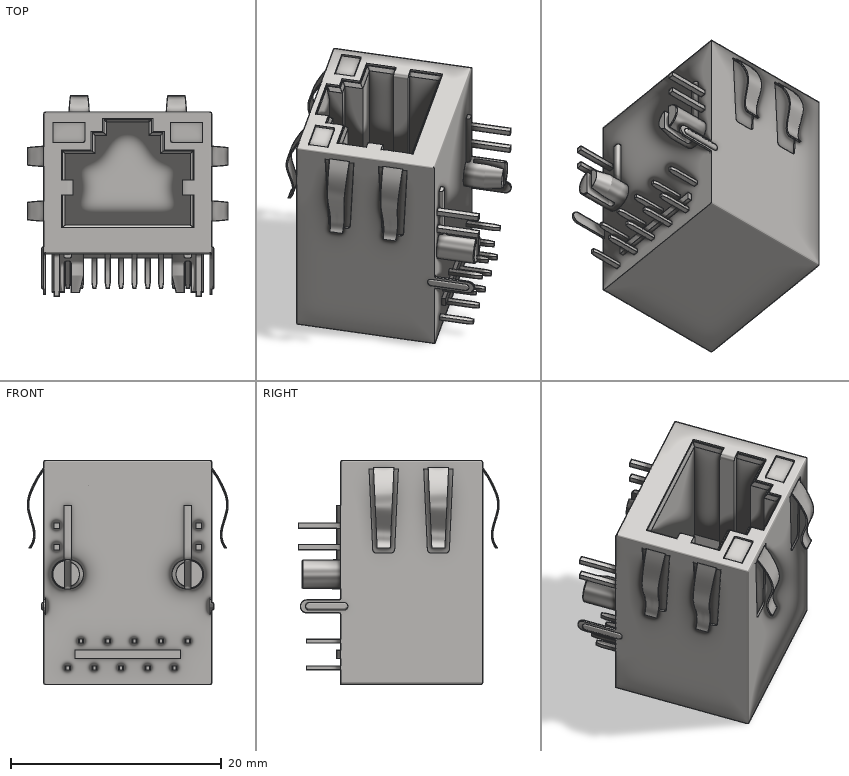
import cadquery as cq
import math


WIDTH, DEPTH, HEIGHT = 15.98, 13.5, 21.3
SHEET = 0.2
HALF_WIDTH = WIDTH / 2

STEP_HALF_WIDTHS = (5.95, 3.1, 2.02)
STEP_TOPS = (9.55, 11.29, 12.55)
BORE_FLOOR_Y = 2.77
BORE_DEPTH = 12.78
LEAD_IN = 0.25
LEAD_IN_DEPTH = 0.38
RIM_LEDGE = 0.1
LATCH_RAMP_DEPTH = 1.3

TONGUE_FACE_X = 5.2
TONGUE_BEND = 0.58
TONGUE_WIDTH = 1.43
TONGUE_Y = 6.33

LED_WIDTH, LED_HEIGHT = 3.05, 1.87
LED_X, LED_Y = 5.6, 11.57
LED_CORNER = 0.15

SPRING_THICKNESS = 0.2
SPRING_REACH = 1.7
SPRING_CURVE = [(-SHEET, 20.75), (1.05, 18.75), (1.5, 17.05), (0.9, 14.35), (1.32, 12.97)]
SPRING_TOP_Z, SPRING_TOP_WIDTH = 20.79, 1.95
SPRING_TIP_Z, SPRING_TIP_WIDTH = 12.9, 1.24
SIDE_SPRING_YS = (4.1, 9.29)
BACK_SPRING_X = 4.62
SLOT_TOP_Z, SLOT_TOP_WIDTH = 20.5, 2.8
SLOT_BOTTOM_Z, SLOT_BOTTOM_WIDTH = 12.5, 2.07
SLOT_CORNER = 0.36

PIN_WIDTH, PIN_HEIGHT = 0.5, 0.38
PIN_LENGTH = 3.25
PIN_TIP_LENGTH, PIN_TIP_WIDTH = 0.55, 0.3
PIN_PITCH = 2.53
PINS_PER_ROW = 5
PIN_ROW_ZS = (1.58, 4.13)
ROW_STAGGER = PIN_PITCH / 2
FIRST_PIN_X = -(PINS_PER_ROW - 1) * PIN_PITCH / 2 - ROW_STAGGER / 2

LED_PIN_SIZE = 0.51
LED_PIN_LENGTH = 4.03
LED_PIN_X = 6.75
LED_PIN_ZS = (13.05, 15.1)

STANDOFF = 0.38
BAR_WIDTH, BAR_HEIGHT, BAR_Z = 10.01, 0.8, 2.88
RIB_WIDTH, RIB_TOP_Z = 0.75, 17.05
RIB_FILLET = 0.23

PEG_X, PEG_Z = 5.7, 10.48
PEG_RADIUS = 1.38
PEG_SPAN = 3.0
PEG_LENGTH = 3.66
PEG_STRAIGHT = 2.07
PEG_TIP_INSET = 0.38
PEG_CHAMFER = 0.09
PEG_SLOT_WIDTH = 0.64
PEG_SLOT_START = 0.65
PEG_SLOT_CORNER = 0.25

TAB_Z, TAB_HEIGHT, TAB_LENGTH = 7.43, 1.25, 3.83
TAB_ROOT_FILLET = 0.17
BEAD_START_Y, BEAD_END_Y = 0.68, -3.35
BEAD_HEIGHT = 0.72
BEAD_FILLET = 0.17


def box(x, y, z, x_size, y_size, z_size):
    """Box centred on X and Z whose +Y face lies at y."""
    return cq.Workplane("XY").box(x_size, y_size, z_size).translate((x, y - y_size / 2, z))


def both_sides(solid):
    """The solid together with its mirror image across X = 0."""
    return solid.union(solid.mirror("YZ"))


def shell_block():
    block = box(0, DEPTH, HEIGHT / 2, WIDTH, DEPTH, HEIGHT)
    return block.edges(">Z or >Y or (|Y and <Z)").fillet(SHEET)


def mouth_outline(z, growth, floor_growth):
    """Stepped mouth outline at height z, grown outward from the bore."""
    right = []
    y = BORE_FLOOR_Y - floor_growth
    for half_width, top in zip(STEP_HALF_WIDTHS, STEP_TOPS):
        right.append((half_width + growth, y))
        y = top + growth
        right.append((half_width + growth, y))
    left = [(-x, y) for x, y in reversed(right)]
    return cq.Workplane("XY").workplane(offset=z).polyline(right + left).close()


def mouth():
    rim_z = HEIGHT - SHEET
    bore_z = rim_z - LEAD_IN_DEPTH
    rim = mouth_outline(rim_z, LEAD_IN + RIM_LEDGE, LEAD_IN).extrude(SHEET)
    upper = mouth_outline(rim_z, LEAD_IN, LEAD_IN).val()
    lower = mouth_outline(bore_z, 0, 0).val()
    lead_in = cq.Workplane(cq.Solid.makeLoft([upper, lower], True))
    bore = mouth_outline(HEIGHT - BORE_DEPTH, 0, 0).extrude(BORE_DEPTH - SHEET)
    latch_width = 2 * STEP_HALF_WIDTHS[-1]
    latch_top = STEP_TOPS[-1]
    latch_ramp = (
        cq.Workplane("YZ")
        .polyline([(latch_top, rim_z), (latch_top + LEAD_IN, rim_z), (latch_top, rim_z - LATCH_RAMP_DEPTH)])
        .close()
        .extrude(latch_width / 2, both=True)
    )
    return rim.union(lead_in).union(bore).union(latch_ramp)


def tongues():
    """Guide tongues that roll over the mouth rim and run down the side walls."""
    root_x = STEP_HALF_WIDTHS[0] + LEAD_IN + RIM_LEDGE
    thickness = root_x - TONGUE_FACE_X
    tongue = box(
        TONGUE_FACE_X + thickness / 2, TONGUE_Y + TONGUE_WIDTH / 2, HEIGHT - BORE_DEPTH / 2,
        thickness, TONGUE_WIDTH, BORE_DEPTH,
    )
    return both_sides(tongue.edges("<X and >Z").fillet(TONGUE_BEND))


def led_windows():
    window = box(LED_X, LED_Y + LED_HEIGHT / 2, HEIGHT - SHEET / 2, LED_WIDTH, LED_HEIGHT, SHEET)
    return both_sides(window.edges("|Z and <X and <Y").fillet(LED_CORNER))


def trapezoid(top_z, top_width, bottom_z, bottom_width, x_start, x_end):
    """Prism along X whose width in Y changes linearly with height."""
    corners = [
        (-top_width / 2, top_z), (top_width / 2, top_z),
        (bottom_width / 2, bottom_z), (-bottom_width / 2, bottom_z),
    ]
    prism = cq.Workplane("YZ").polyline(corners).close().extrude(x_end - x_start)
    return prism.translate((x_start, 0, 0))


def spring():
    """Bowed leaf that leaves a wall at X = 0 toward +X, centred on Y = 0."""
    path = cq.Workplane("XZ").spline(SPRING_CURVE)
    start_x, start_z = SPRING_CURVE[0]
    band = (
        cq.Workplane("XY", origin=(start_x, 0, start_z))
        .rect(SPRING_THICKNESS, SPRING_TOP_WIDTH)
        .sweep(path)
    )
    taper = trapezoid(SPRING_TOP_Z, SPRING_TOP_WIDTH, SPRING_TIP_Z, SPRING_TIP_WIDTH, -SHEET, SPRING_REACH)
    return band.intersect(taper)


def spring_slot():
    slot = trapezoid(SLOT_TOP_Z, SLOT_TOP_WIDTH, SLOT_BOTTOM_Z, SLOT_BOTTOM_WIDTH, -SHEET, 0)
    return slot.edges("|X and <Z").fillet(SLOT_CORNER)


def on_shell_walls(leaf):
    """Copies of a wall feature at every spring position."""
    side = leaf.translate((HALF_WIDTH, SIDE_SPRING_YS[0], 0))
    side = side.union(leaf.translate((HALF_WIDTH, SIDE_SPRING_YS[1], 0)))
    back = leaf.rotate((0, 0, 0), (0, 0, 1), 90).translate((BACK_SPRING_X, DEPTH, 0))
    return both_sides(side.union(back))


def contact_pins():
    half = PIN_WIDTH / 2
    half_tip = PIN_TIP_WIDTH / 2
    shoulder = -(PIN_LENGTH - PIN_TIP_LENGTH)
    outline = [
        (-half, SHEET), (half, SHEET), (half, shoulder),
        (half_tip, -PIN_LENGTH), (-half_tip, -PIN_LENGTH), (-half, shoulder),
    ]
    pin = cq.Workplane("XY").polyline(outline).close().extrude(PIN_HEIGHT / 2, both=True)
    pins = cq.Workplane("XY")
    for row, z in enumerate(PIN_ROW_ZS):
        for column in range(PINS_PER_ROW):
            x = FIRST_PIN_X + row * ROW_STAGGER + column * PIN_PITCH
            pins = pins.add(pin.translate((x, 0, z)))
    return pins.combine()


def led_pins():
    pins = cq.Workplane("XY")
    for z in LED_PIN_ZS:
        pins = pins.add(box(LED_PIN_X, SHEET, z, LED_PIN_SIZE, LED_PIN_LENGTH + SHEET, LED_PIN_SIZE))
    return both_sides(pins.combine())


def standoffs():
    bar = box(0, SHEET, BAR_Z, BAR_WIDTH, STANDOFF + SHEET, BAR_HEIGHT)
    rib = box(0, SHEET, 0, RIB_WIDTH, STANDOFF + SHEET, RIB_TOP_Z - PEG_Z)
    rib = rib.edges("|Z and <Y").fillet(RIB_FILLET)
    return bar.union(both_sides(rib.translate((PEG_X, 0, (PEG_Z + RIB_TOP_Z) / 2))))


def peg():
    """Split peg for the +X side: plain outer half, tapered inner half."""
    offset = PEG_SPAN / 2 - PEG_RADIUS
    board = cq.Workplane("XZ")
    outer = board.slot2D(PEG_SPAN, 2 * PEG_RADIUS).extrude(PEG_LENGTH)
    outer = outer.faces("<Y").chamfer(PEG_CHAMFER)
    inner = board.slot2D(PEG_SPAN, 2 * PEG_RADIUS).extrude(PEG_STRAIGHT)
    tip = (
        cq.Workplane("XZ", origin=(-offset, -PEG_STRAIGHT, 0))
        .circle(PEG_RADIUS)
        .workplane(offset=PEG_LENGTH - PEG_STRAIGHT)
        .center(PEG_TIP_INSET / 2, 0)
        .circle(PEG_RADIUS - PEG_TIP_INSET / 2)
        .loft()
    )
    outer_half = box(PEG_SPAN / 2, 0, 0, PEG_SPAN, PEG_LENGTH, PEG_SPAN)
    outer = outer.intersect(outer_half)
    inner = inner.union(tip).cut(outer_half)
    slot = box(0, -PEG_SLOT_START, 0, PEG_SLOT_WIDTH, PEG_LENGTH, PEG_SPAN)
    slot = slot.edges("|Z and >Y").fillet(PEG_SLOT_CORNER)
    return outer.union(inner).cut(slot)


def board_tabs():
    half = TAB_HEIGHT / 2
    r = TAB_ROOT_FILLET
    bend = r * (1 - math.sqrt(0.5))
    tab = (
        cq.Workplane("YZ")
        .moveTo(r, half + r)
        .lineTo(0, half + r)
        .threePointArc((-bend, half + bend), (-r, half))
        .lineTo(half - TAB_LENGTH, half)
        .threePointArc((-TAB_LENGTH, 0), (half - TAB_LENGTH, -half))
        .lineTo(-r, -half)
        .threePointArc((-bend, -half - bend), (0, -half - r))
        .lineTo(r, -half - r)
        .close()
        .extrude(-SHEET)
    )
    bead = (
        cq.Workplane("YZ")
        .center((BEAD_START_Y + BEAD_END_Y) / 2, 0)
        .slot2D(BEAD_START_Y - BEAD_END_Y, BEAD_HEIGHT)
        .extrude(SHEET)
        .faces(">X")
        .edges()
        .fillet(BEAD_FILLET)
    )
    return both_sides(tab.union(bead).translate((HALF_WIDTH, 0, TAB_Z)))


result = shell_block().cut(mouth()).cut(led_windows()).cut(on_shell_walls(spring_slot()))
result = result.union(tongues()).union(on_shell_walls(spring()))
result = result.union(contact_pins()).union(led_pins()).union(standoffs())
result = result.union(both_sides(peg().translate((PEG_X, 0, PEG_Z)))).union(board_tabs())